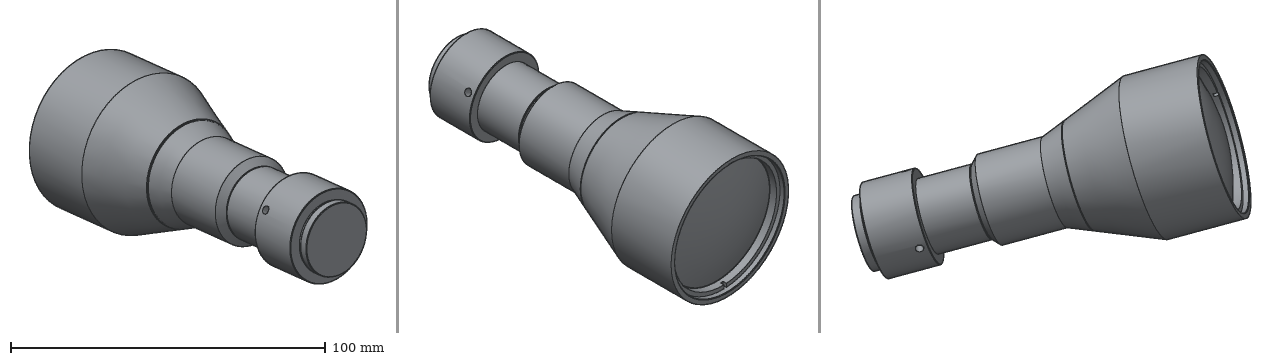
import cadquery as cq
import math

front_diameter = 54.0
front_cylinder_end = 26.2
front_joint_x = 48.5
joint_chamfer = 0.4

rear_diameter = 30.1
taper_end = 56.6
rear_cylinder_end = 78.5
rear_end = 80.9

tube_diameter = 25.0

collar_radius = 16.0
collar_start = 99.3
collar_end = 117.1
collar_chamfer = 0.2
socket_depth = 6.3
relief_radius = 12.2
relief_end = 117.8
thread_diameter = 25.0
thread_chamfer = 0.2
total_length = 121.0
screw_hole_diameter = 2.7
screw_hole_inset = 2.9
screw_hole_count = 3
screw_hole_start_angle = 30.0

mouth_chamfer = 0.2
pocket_radius = 25.2
ring_front = 2.0
ring_thickness = 2.9
ring_inner_radius = 23.6
slot_width = 1.1
slot_depth = 1.5
dome_edge_radius = 23.3
dome_sphere_radius = 60.5
lens_edge_thickness = 4.8

front_radius = front_diameter / 2
rear_radius = rear_diameter / 2
tube_radius = tube_diameter / 2
thread_radius = thread_diameter / 2
taper_slope = (front_radius - rear_radius) / (taper_end - front_cylinder_end)
joint_radius = front_radius - taper_slope * (front_joint_x - front_cylinder_end)
ring_back = ring_front + ring_thickness
lens_back = ring_back + lens_edge_thickness
dome_centre_x = ring_back + math.sqrt(dome_sphere_radius**2 - dome_edge_radius**2)
socket_end = collar_start + socket_depth


def cylinder_along_x(x_start, x_end, radius):
    """Solid cylinder on the optical axis between two X positions."""
    return cq.Workplane("YZ", origin=(x_start, 0, 0)).circle(radius).extrude(x_end - x_start)


def revolve_about_x(half_profile):
    """Revolve a closed half profile, drawn as X and radius, about the optical axis."""
    return half_profile.close().revolve(360, (0, 0, 0), (1, 0, 0))


def make_front_barrel():
    bevel_start_radius = joint_radius + taper_slope * joint_chamfer
    outline = cq.Workplane("XY").polyline([
        (0, 0),
        (0, front_radius),
        (front_cylinder_end, front_radius),
        (front_joint_x - joint_chamfer, bevel_start_radius),
        (front_joint_x, joint_radius - joint_chamfer),
        (front_joint_x, 0),
    ])
    barrel = revolve_about_x(outline).cut(cylinder_along_x(0, lens_back, pocket_radius))
    return barrel.faces("<X").edges(cq.selectors.RadiusNthSelector(0)).chamfer(mouth_chamfer)


def make_rear_barrel():
    outline = cq.Workplane("XY").polyline([
        (front_joint_x, 0),
        (front_joint_x, joint_radius),
        (taper_end, rear_radius),
        (rear_cylinder_end, rear_radius),
        (rear_end, tube_radius),
        (rear_end, 0),
    ])
    return revolve_about_x(outline)


def make_tube():
    return cylinder_along_x(rear_end, socket_end, tube_radius).faces("<X").chamfer(joint_chamfer)


def make_mount():
    collar = cylinder_along_x(collar_start, collar_end, collar_radius)
    collar = collar.faces("<X or >X").chamfer(collar_chamfer)
    relief = cylinder_along_x(collar_end, relief_end, relief_radius)
    thread = cylinder_along_x(relief_end, total_length, thread_radius)
    thread = thread.faces("<X or >X").chamfer(thread_chamfer)
    mount = collar.union(relief).union(thread)
    mount = mount.cut(cylinder_along_x(collar_start, socket_end, tube_radius))

    screw_hole = (
        cq.Workplane("XZ", origin=(collar_start + screw_hole_inset, 0, 0))
        .circle(screw_hole_diameter / 2)
        .extrude(-collar_radius)
    )
    for index in range(screw_hole_count):
        angle = screw_hole_start_angle + index * 360 / screw_hole_count
        mount = mount.cut(screw_hole.rotate((0, 0, 0), (1, 0, 0), angle))
    return mount


def make_retaining_ring():
    ring = cylinder_along_x(ring_front, ring_back, pocket_radius)
    ring = ring.cut(cylinder_along_x(ring_front, ring_back, ring_inner_radius))
    slot_cutter = cq.Workplane("XY", origin=(ring_front, 0, 0)).box(
        slot_depth, slot_width, 2 * pocket_radius, centered=(False, True, True)
    )
    return ring.cut(slot_cutter)


def make_lens():
    apex_x = dome_centre_x - dome_sphere_radius
    half_angle = math.asin(dome_edge_radius / dome_sphere_radius) / 2
    mid_x = dome_centre_x - dome_sphere_radius * math.cos(half_angle)
    mid_radius = dome_sphere_radius * math.sin(half_angle)
    outline = (
        cq.Workplane("XY")
        .moveTo(lens_back, 0)
        .lineTo(apex_x, 0)
        .threePointArc((mid_x, mid_radius), (ring_back, dome_edge_radius))
        .lineTo(ring_back, pocket_radius)
        .lineTo(lens_back, pocket_radius)
    )
    return revolve_about_x(outline)


front_barrel = make_front_barrel()
rear_barrel = make_rear_barrel()
tube = make_tube()
mount = make_mount()
retaining_ring = make_retaining_ring()
lens = make_lens()

result = cq.Compound.makeCompound([
    front_barrel.val(),
    rear_barrel.val(),
    tube.val(),
    mount.val(),
    retaining_ring.val(),
    lens.val(),
])